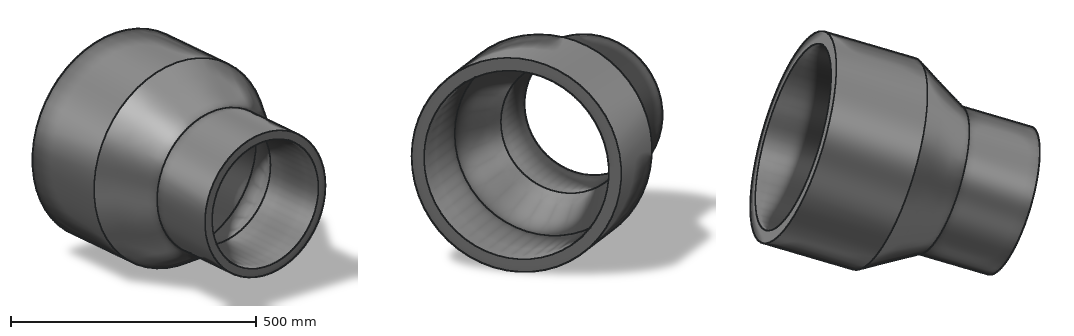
import cadquery as cq

total_length = 480.0
wide_length = 202.0
narrow_length = 156.5
wide_outer_diameter = 450.0
wide_bore_diameter = 396.5
narrow_outer_diameter = 315.0
narrow_bore_diameter = 277.5

cone_start = wide_length
cone_end = total_length - narrow_length


def stepped_cone(wide_diameter, narrow_diameter):
    """Solid of revolution: wide cylinder, cone, narrow cylinder."""
    wide_radius = wide_diameter / 2
    narrow_radius = narrow_diameter / 2
    half_profile = [
        (0, 0),
        (0, wide_radius),
        (cone_start, wide_radius),
        (cone_end, narrow_radius),
        (total_length, narrow_radius),
        (total_length, 0),
    ]
    return (
        cq.Workplane("XY")
        .polyline(half_profile)
        .close()
        .revolve(360, (0, 0, 0), (1, 0, 0))
    )


body = stepped_cone(wide_outer_diameter, narrow_outer_diameter)
bore = stepped_cone(wide_bore_diameter, narrow_bore_diameter)
result = body.cut(bore)